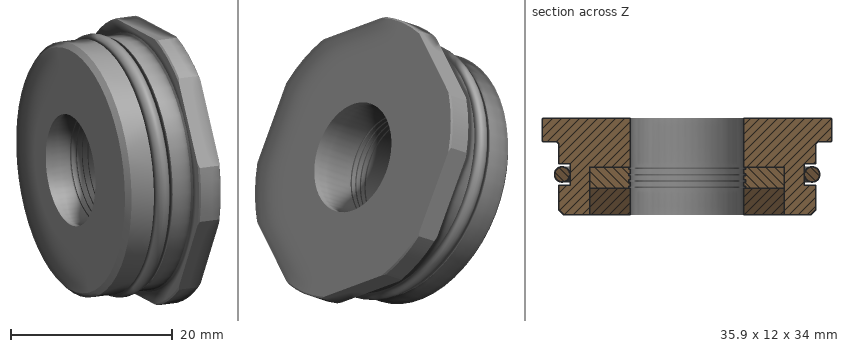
import cadquery as cq
import math

length = 12.0
across_flats = 34.0
across_corners = 35.93

head_thickness = 3.0
head_chamfer = 0.18

spigot_radius = 15.95
nose_chamfer = 0.6
root_chamfer = 0.2

o_ring_section_radius = 0.97
o_ring_outer_radius = 16.45
o_ring_depth = 5.0
o_ring_groove_width = 2.6

bore_radius = 7.0
recess_radius = 12.0
disc_thickness = 3.3
seal_thickness = 2.55

seal_groove_count = 4
seal_groove_width = 0.2
seal_groove_depth = 0.2

nose_y = -length / 2
head_depth = length - head_thickness
head_front_y = nose_y + head_depth
recess_depth = disc_thickness + seal_thickness


def cylinder(radius, depth, thickness):
    """Round bar along Y that starts at a depth behind the nose face."""
    return (
        cq.Workplane("XZ", origin=(0, nose_y + depth, 0))
        .circle(radius)
        .extrude(-thickness)
    )


def revolve_about_y(profile):
    """Closed profile in the XY plane turned once around the Y axis."""
    return profile.close().revolve(360, (0, 0, 0), (0, 1, 0))


def make_head():
    """Hexagon with flats on top and bottom and its corners turned off."""
    hexagon = (
        cq.Workplane("XZ", origin=(0, head_front_y, 0))
        .polygon(6, across_flats / math.cos(math.pi / 6))
        .extrude(-head_thickness)
    )
    turned_disc = cylinder(across_corners / 2, head_depth, head_thickness)
    return hexagon.intersect(turned_disc.edges().chamfer(head_chamfer))


def make_o_ring():
    """Ring of round section around the spigot."""
    ring_radius = o_ring_outer_radius - o_ring_section_radius
    return (
        cq.Workplane("XY")
        .center(ring_radius, nose_y + o_ring_depth)
        .circle(o_ring_section_radius)
        .revolve(360, (-ring_radius, 0, 0), (-ring_radius, 1, 0))
    )


def make_o_ring_groove():
    """Square groove that the O-ring rests in, touching its floor."""
    floor_radius = o_ring_outer_radius - 2 * o_ring_section_radius
    start = o_ring_depth - o_ring_groove_width / 2
    outside = cylinder(o_ring_outer_radius, start, o_ring_groove_width)
    return outside.cut(cylinder(floor_radius, start, o_ring_groove_width))


def make_root():
    """Conical ring that bevels the corner between the spigot and the head."""
    return revolve_about_y(
        cq.Workplane("XY")
        .moveTo(bore_radius, head_front_y)
        .lineTo(spigot_radius + root_chamfer, head_front_y)
        .lineTo(spigot_radius, head_front_y - root_chamfer)
        .lineTo(bore_radius, head_front_y - root_chamfer)
    )


def make_housing():
    """Head and spigot in one piece, bored through and recessed from the nose face."""
    spigot = cylinder(spigot_radius, 0, head_depth)
    spigot = spigot.faces("<Y").edges().chamfer(nose_chamfer)
    housing = spigot.union(make_root()).union(make_head())
    housing = housing.cut(make_o_ring_groove())
    housing = housing.cut(cylinder(bore_radius, 0, length))
    return housing.cut(cylinder(recess_radius, 0, recess_depth))


def make_disc():
    """Flat ring that closes the recess flush with the nose face."""
    disc = cylinder(recess_radius, 0, disc_thickness)
    return disc.cut(cylinder(bore_radius, 0, disc_thickness))


def make_seal():
    """Ring between the disc and the end of the recess, with ribs between its grooves."""
    seal = cylinder(recess_radius, disc_thickness, seal_thickness)
    seal = seal.cut(cylinder(bore_radius, disc_thickness, seal_thickness))
    groove_pitch = (seal_thickness - seal_groove_width) / (seal_groove_count - 1)
    for index in range(seal_groove_count):
        groove_start = disc_thickness + index * groove_pitch
        seal = seal.cut(cylinder(bore_radius + seal_groove_depth, groove_start, seal_groove_width))
    return seal


housing = make_housing()
o_ring = make_o_ring()
disc = make_disc()
seal = make_seal()

bodies = [housing, o_ring, disc, seal]
result = cq.Compound.makeCompound([body.solids().val() for body in bodies])